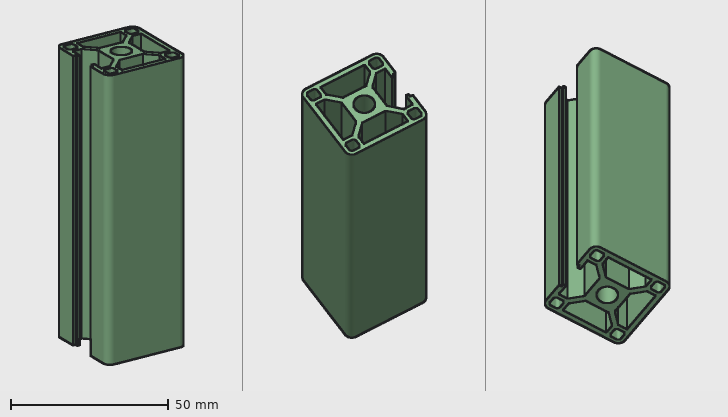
import cadquery as cq
import math

side = 30.0
length = 100.0
corner_radius = 2.5
bore_diameter = 6.8

wall = 2.0
core_width = 11.6
cavity_width = 16.5
rib_thickness = 2.0

lip_opening = 8.2
mouth_opening = 10.2
mouth_depth = 1.0

half_side = side / 2
half_core = core_width / 2
half_cavity = cavity_width / 2
cavity_outer = half_side - wall

rib_offset = rib_thickness / math.sqrt(2)

hollow_wall = 1.5
hollow_size = half_side - half_cavity - 2 * hollow_wall
hollow_radius = corner_radius - hollow_wall


def cavity(angle):
    """Cavity on the -Y side, turned about the Z axis by the given angle."""
    right_half = [
        (half_core - rib_offset, -half_core),
        (half_cavity, -half_cavity - rib_offset),
        (half_cavity, -cavity_outer),
    ]
    left_half = [(-x, y) for x, y in reversed(right_half)]
    prism = cq.Workplane("XY").polyline(right_half + left_half).close().extrude(length)
    return prism.rotate((0, 0, 0), (0, 0, 1), angle)


def corner_hollows():
    """Rounded square hollows running through the four corners."""
    spacing = side - 2 * hollow_wall - hollow_size
    return (
        cq.Workplane("XY")
        .rect(spacing, spacing, forConstruction=True)
        .vertices()
        .rect(hollow_size, hollow_size)
        .extrude(length)
        .edges("|Z")
        .fillet(hollow_radius)
    )


def slot_cut(width, depth):
    """Full-length cut of the given width, inward from the -Y face."""
    return cq.Workplane("XY").center(0, depth / 2 - half_side).rect(width, depth).extrude(length)


result = cq.Workplane("XY").rect(side, side).extrude(length).edges("|Z").fillet(corner_radius)
for angle in (0, 90, 180, 270):
    result = result.cut(cavity(angle))
result = result.cut(corner_hollows())
result = result.cut(slot_cut(lip_opening, wall))
result = result.cut(slot_cut(mouth_opening, mouth_depth))
result = result.faces(">Z").workplane(origin=(0, 0, length)).hole(bore_diameter)